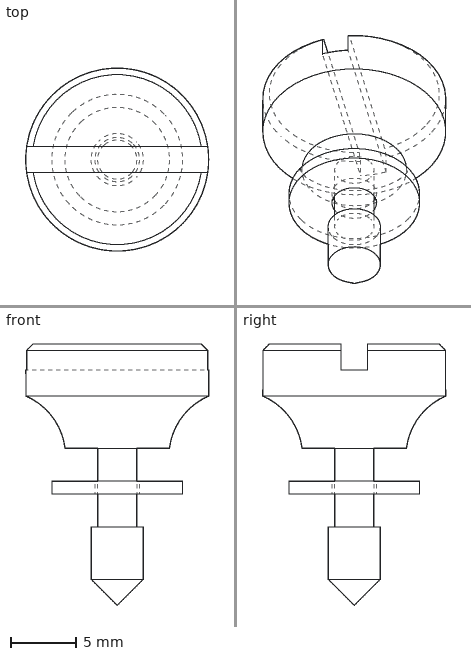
import cadquery as cq

overall_height = 20.0
point_height = 2.0
thread_top = 6.0
neck_bottom = 12.0
head_bottom = 16.0

thread_radius = 2.0
shank_radius = 1.5
neck_radius = 4.0
head_radius = 7.0

head_chamfer = 0.5
neck_arc_radius = 5.0

slot_width = 2.0
slot_depth = 2.0

washer_radius = 5.0
washer_thickness = 1.0
washer_hole_radius = 1.7
washer_middle = (thread_top + neck_bottom) / 2


def neck_arc_middle():
    """Radius and height of the middle of the concave arc under the head."""
    run = head_radius - neck_radius
    rise = head_bottom - neck_bottom
    chord = (run**2 + rise**2) ** 0.5
    bulge = neck_arc_radius - (neck_arc_radius**2 - (chord / 2) ** 2) ** 0.5
    return (
        (head_radius + neck_radius) / 2 - bulge * rise / chord,
        (head_bottom + neck_bottom) / 2 + bulge * run / chord,
    )


def make_screw():
    """Captive screw: pointed end, reduced shank, flared neck and slotted head."""
    turned = (
        cq.Workplane("XZ")
        .moveTo(0, 0)
        .lineTo(thread_radius, point_height)
        .lineTo(thread_radius, thread_top)
        .lineTo(shank_radius, thread_top)
        .lineTo(shank_radius, neck_bottom)
        .lineTo(neck_radius, neck_bottom)
        .threePointArc(neck_arc_middle(), (head_radius, head_bottom))
        .lineTo(head_radius, overall_height - head_chamfer)
        .lineTo(head_radius - head_chamfer, overall_height)
        .lineTo(0, overall_height)
        .close()
        .revolve(360, (0, 0, 0), (0, 1, 0))
    )
    slot = (
        cq.Workplane("XY")
        .workplane(offset=overall_height - slot_depth)
        .rect(2 * head_radius, slot_width)
        .extrude(slot_depth)
    )
    return turned.cut(slot)


def make_washer():
    """Flat washer held on the shank, midway between the thread and the neck."""
    return (
        cq.Workplane("XY")
        .workplane(offset=washer_middle - washer_thickness / 2)
        .circle(washer_radius)
        .circle(washer_hole_radius)
        .extrude(washer_thickness)
    )


screw = make_screw()
washer = make_washer()

result = cq.Compound.makeCompound([screw.val(), washer.val()])